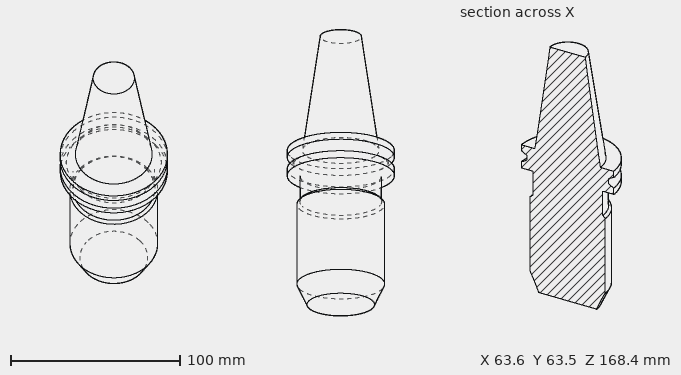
import cadquery as cq
import math


gauge_radius = 44.45 / 2
taper_slope = 7 / 24 / 2
shank_top = 68.4

flange_radius = 63.55 / 2
flange_top = -3.2
flange_bottom = -19.1

groove_floor_radius = 56.25 / 2
groove_flank_turn = 60
groove_flank_slope = 1 / math.tan(math.radians(groove_flank_turn))
groove_top = -7.5
groove_bottom = -14.7
groove_fillet = 1.0

neck_radius = 48 / 2
neck_fillet = 0.3

body_radius = 52 / 2
body_top = -35.2
body_chamfer = body_radius - neck_radius - neck_fillet
nose_radius = 40 / 2
nose_bottom = -100
nose_half_angle = 25
nose_length = (body_radius - nose_radius) / math.tan(math.radians(nose_half_angle))


def taper_radius(z):
    """Radius of the taper shank at height z."""
    return gauge_radius - taper_slope * z


def make_holder():
    """Half profile in (r, z), followed from the top of the axis down, turned about Z."""
    flank_run = (flange_radius - groove_floor_radius) * groove_flank_slope
    floor_top = groove_top - flank_run
    floor_bottom = groove_bottom + flank_run

    fillet_setback = groove_fillet * math.tan(math.radians(groove_flank_turn) / 2)
    setback_r = fillet_setback * math.sin(math.radians(groove_flank_turn))
    setback_z = fillet_setback * math.cos(math.radians(groove_flank_turn))

    profile = (
        cq.Workplane("XZ")
        .moveTo(0, shank_top)
        .lineTo(taper_radius(shank_top), shank_top)
        .lineTo(taper_radius(flange_top), flange_top)
        .lineTo(flange_radius, flange_top)
        .lineTo(flange_radius, groove_top)
        .lineTo(groove_floor_radius + setback_r, floor_top + setback_z)
        .tangentArcPoint((groove_floor_radius, floor_top - fillet_setback), relative=False)
        .lineTo(groove_floor_radius, floor_bottom + fillet_setback)
        .tangentArcPoint((groove_floor_radius + setback_r, floor_bottom - setback_z), relative=False)
        .lineTo(flange_radius, groove_bottom)
        .lineTo(flange_radius, flange_bottom)
        .lineTo(neck_radius + neck_fillet, flange_bottom)
        .tangentArcPoint((neck_radius, flange_bottom - neck_fillet), relative=False)
        .lineTo(neck_radius, body_top + neck_fillet)
        .tangentArcPoint((neck_radius + neck_fillet, body_top), relative=False)
        .lineTo(body_radius, body_top - body_chamfer)
        .lineTo(body_radius, nose_bottom + nose_length)
        .lineTo(nose_radius, nose_bottom)
        .lineTo(0, nose_bottom)
        .close()
    )
    return profile.revolve(360, (0, 0), (0, 1))


result = make_holder()